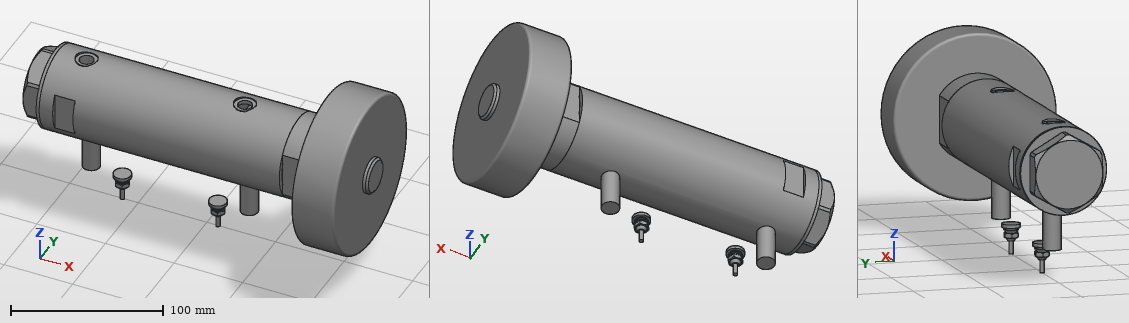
import cadquery as cq
import math


total_length = 246.2
total_height = 132.7
flange_radius = 112.0 / 2

head_length = 12.8
head_across_flats = 46.3
head_corner_radius = 26.0
head_face_radius = 23.0
head_chamfer_length = 3.0
collar_end_x = 15.0
shank_radius = 19.7
shank_end_x = 38.2

sleeve_radius = 29.5
sleeve_end_x = 190.0
narrow_bore_end_x = 49.2
wide_bore_radius = 25.5
wrench_flat_start_x = 24.9
wrench_flat_end_x = 39.6
wrench_flat_half_width = 26.3

first_port_x = 35.5
port_spacing = 115.5
port_x_places = (first_port_x, first_port_x + port_spacing)
port_radius = 5.0
spotface_radius = 7.6
spotface_depth = 1.5

first_pin_x = 39.0
pin_spacing = 115.2
pin_x_places = (first_pin_x, first_pin_x + pin_spacing)
pin_radius = 6.2
pin_bottom_z = -56.9
pin_top_z = -27.0

stem_radius = 14.0
journal_start_x = 152.2
neck_flat_half_width = 24.9
flange_start_x = 211.2
flange_end_x = 242.5
flange_edge_radius = 2.0
boss_radius = 12.5
boss_face_radius = 11.0
boss_chamfer_length = 1.5

first_fitting_x = 61.5
fitting_spacing = 69.7
fitting_x_places = (first_fitting_x, first_fitting_x + fitting_spacing)
fitting_cap_top_z = -56.5
fitting_bottom_z = flange_radius - total_height
fitting_cap_radius = 6.2
fitting_cap_height = 2.5
fitting_neck_radius = 4.5
fitting_neck_height = 1.2
fitting_ring_radius = 5.0
fitting_ring_height = 0.5
fitting_waist_radius = 3.7
fitting_waist_height = 1.7
fitting_nut_corner_radius = 5.2
fitting_nut_height = 3.5
fitting_nut_chamfer = 0.7
fitting_nut_turn = -9.0
fitting_cone_top_radius = 3.7
fitting_cone_bottom_radius = 2.2
fitting_cone_height = 2.2
fitting_stem_radius = 1.5


def x_cylinder(radius, start_x, end_x):
    """Cylinder on the X axis."""
    return cq.Workplane("YZ", origin=(start_x, 0, 0)).circle(radius).extrude(end_x - start_x)


def z_cylinder(radius, x, bottom_z, top_z):
    """Upright cylinder in the Y = 0 plane."""
    return cq.Workplane("XY", origin=(x, 0, bottom_z)).circle(radius).extrude(top_z - bottom_z)


def slab_between_flats(half_width, start_x, end_x):
    """Block that keeps a round section between two flats facing -Y and +Y."""
    height = 2 * sleeve_radius
    return (
        cq.Workplane("XY")
        .box(end_x - start_x, 2 * half_width, height, centered=(False, True, True))
        .translate((start_x, 0, 0))
    )


def flatted_cylinder(half_width, start_x, end_x):
    """Length of the sleeve's outer cylinder with a flat on each side."""
    return x_cylinder(sleeve_radius, start_x, end_x).intersect(
        slab_between_flats(half_width, start_x, end_x)
    )


def make_end_cap():
    hex_corner_diameter = head_across_flats / math.cos(math.pi / 6)
    hexagon = (
        cq.Workplane("YZ")
        .transformed(rotate=(0, 0, 90))
        .polygon(6, hex_corner_diameter)
        .extrude(head_length)
    )
    blank = (
        cq.Workplane("XY")
        .moveTo(0, 0)
        .lineTo(0, head_face_radius)
        .lineTo(head_chamfer_length, head_corner_radius)
        .lineTo(head_length, head_corner_radius)
        .lineTo(head_length, 0)
        .close()
        .revolve(360, (0, 0, 0), (1, 0, 0))
    )
    collar = x_cylinder(sleeve_radius, head_length, collar_end_x)
    shank = x_cylinder(shank_radius, collar_end_x, shank_end_x)
    return hexagon.intersect(blank).union(collar).union(shank)


def make_sleeve():
    sleeve = x_cylinder(sleeve_radius, collar_end_x, sleeve_end_x)

    sleeve = sleeve.cut(x_cylinder(shank_radius, collar_end_x, narrow_bore_end_x))
    sleeve = sleeve.cut(x_cylinder(wide_bore_radius, narrow_bore_end_x, sleeve_end_x))

    flat_ring = x_cylinder(sleeve_radius, wrench_flat_start_x, wrench_flat_end_x).cut(
        slab_between_flats(wrench_flat_half_width, wrench_flat_start_x, wrench_flat_end_x)
    )
    sleeve = sleeve.cut(flat_ring)

    spotface_z = sleeve_radius - spotface_depth
    for x in port_x_places:
        sleeve = sleeve.cut(z_cylinder(spotface_radius, x, spotface_z, sleeve_radius))
        sleeve = sleeve.cut(z_cylinder(port_radius, x, 0, sleeve_radius))

    for x in pin_x_places:
        sleeve = sleeve.cut(z_cylinder(pin_radius, x, -sleeve_radius, pin_top_z))
    return sleeve


def make_rotor():
    stem = x_cylinder(stem_radius, shank_end_x, journal_start_x)
    journal = x_cylinder(wide_bore_radius, journal_start_x, sleeve_end_x)
    neck = flatted_cylinder(neck_flat_half_width, sleeve_end_x, flange_start_x)
    flange = x_cylinder(flange_radius, flange_start_x, flange_end_x).edges().fillet(flange_edge_radius)
    boss_chamfer_start_x = total_length - boss_chamfer_length
    boss = (
        cq.Workplane("XY")
        .moveTo(flange_end_x, 0)
        .lineTo(flange_end_x, boss_radius)
        .lineTo(boss_chamfer_start_x, boss_radius)
        .lineTo(total_length, boss_face_radius)
        .lineTo(total_length, 0)
        .close()
        .revolve(360, (0, 0, 0), (1, 0, 0))
    )
    return stem.union(journal).union(neck).union(flange).union(boss)


def make_pin(x):
    return z_cylinder(pin_radius, x, pin_bottom_z, pin_top_z)


def make_fitting(x):
    cap_bottom_z = fitting_cap_top_z - fitting_cap_height
    ring_top_z = cap_bottom_z - fitting_neck_height
    ring_bottom_z = ring_top_z - fitting_ring_height
    nut_top_z = ring_bottom_z - fitting_waist_height
    nut_bottom_z = nut_top_z - fitting_nut_height
    cone_bottom_z = nut_bottom_z - fitting_cone_height

    fitting = z_cylinder(fitting_cap_radius, x, cap_bottom_z, fitting_cap_top_z)
    fitting = fitting.union(z_cylinder(fitting_neck_radius, x, ring_top_z, cap_bottom_z))
    fitting = fitting.union(z_cylinder(fitting_ring_radius, x, ring_bottom_z, ring_top_z))
    fitting = fitting.union(z_cylinder(fitting_waist_radius, x, nut_top_z, ring_bottom_z))
    nut = (
        cq.Workplane("XY", origin=(x, 0, nut_bottom_z))
        .transformed(rotate=(0, 0, fitting_nut_turn))
        .polygon(6, 2 * fitting_nut_corner_radius)
        .extrude(fitting_nut_height)
    )
    nut_blank = z_cylinder(fitting_nut_corner_radius, x, nut_bottom_z, nut_top_z)
    nut = nut.intersect(nut_blank.faces("<Z or >Z").chamfer(fitting_nut_chamfer))
    cone = (
        cq.Workplane("XY", origin=(x, 0, cone_bottom_z))
        .circle(fitting_cone_bottom_radius)
        .workplane(offset=fitting_cone_height)
        .circle(fitting_cone_top_radius)
        .loft(ruled=True)
    )
    stem = z_cylinder(fitting_stem_radius, x, fitting_bottom_z, cone_bottom_z)
    return fitting.union(nut).union(cone).union(stem)


end_cap = make_end_cap()
sleeve = make_sleeve()
rotor = make_rotor()
pins = [make_pin(x) for x in pin_x_places]
fittings = [make_fitting(x) for x in fitting_x_places]

result = cq.Compound.makeCompound(
    [
        end_cap.val(),
        sleeve.val(),
        rotor.val(),
        *[pin.val() for pin in pins],
        *[fitting.val() for fitting in fittings],
    ]
)